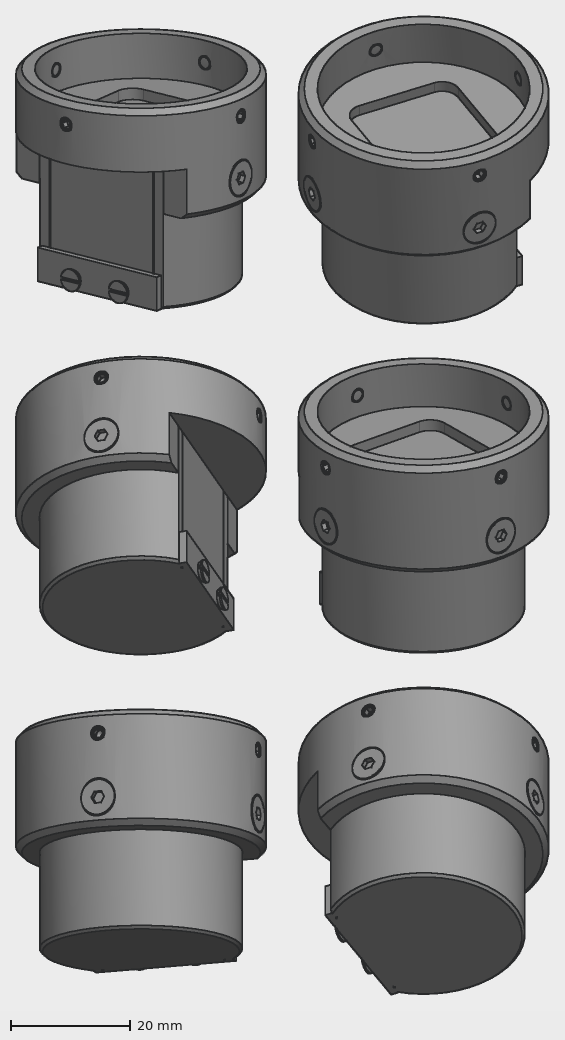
import cadquery as cq
import math

total_height = 37.0
collar_diameter = 42.0
collar_height = 20.0
collar_chamfer = 1.0
body_diameter = 34.0
body_chamfer = 0.5
collar_bottom = total_height - collar_height
collar_radius = collar_diameter / 2

collar_bore_diameter = 34.1

socket_diameter = 35.6
socket_depth = 8.0
pocket_side = 20.0
pocket_corner_radius = 3.0
pocket_depth = 2.0
socket_floor = total_height - socket_depth

flat_y = -11.0
flat_top = 26.0

panel_width = 22.0
panel_bevel = 0.3

bar_width = 25.0
bar_height = 6.0
bar_thickness = 1.25
bar_screw_spacing = 10.0
bar_screw_z = 2.0
bar_screw_head_diameter = 3.9
bar_screw_neck_diameter = 3.24
bar_screw_rim_thickness = 0.3
bar_screw_head_height = 0.9
bar_screw_slot_width = 0.5
bar_screw_slot_depth = 0.6

side_screw_z = 22.0
side_screw_angles = (0, 90, 180)
side_screw_head_diameter = 6.0
side_screw_shank_diameter = 3.0
side_screw_seat_diameter = 6.5
side_screw_hex_flats = 2.0
side_screw_hex_depth = 1.0

set_screw_z = 33.0
set_screw_angles = (0, 90, 180, 270)
set_screw_diameter = 2.46
set_screw_end_diameter = 2.0
set_screw_recess = 0.2
set_screw_hex_flats = 1.5
set_screw_hex_depth = 1.2
set_screw_drill_point_angle = 118.0


def hex_corner_diameter(across_flats):
    return across_flats / math.cos(math.radians(30))


def turned(profile):
    """Revolve (radius, x) points about the X axis."""
    points = [(x, radius) for radius, x in profile]
    return cq.Workplane("XY").polyline(points).close().revolve(360, (0, 0), (1, 0))


def hex_socket(across_flats, depth, outer_x):
    """Hexagonal prism along X, ending at outer_x, with two flats level."""
    start = cq.Workplane("YZ").workplane(offset=outer_x - depth)
    return start.polygon(6, hex_corner_diameter(across_flats)).extrude(depth)


def placed(shape, angle, z):
    """Turn a shape built along +X to the given side and raise it to height z."""
    return shape.rotate((0, 0, 0), (0, 0, 1), angle).translate((0, 0, z))


def make_housing():
    body = cq.Workplane("XY").circle(body_diameter / 2).extrude(collar_bottom)
    body = body.faces("<Z").chamfer(body_chamfer)
    collar = cq.Workplane("XY").workplane(offset=collar_bottom)
    collar = collar.circle(collar_radius).extrude(collar_height)
    collar = collar.faces("<Z or >Z").chamfer(collar_chamfer)
    housing = body.union(collar)
    socket = cq.Workplane("XY").workplane(offset=socket_floor)
    socket = socket.circle(socket_diameter / 2).extrude(socket_depth)
    pocket = (
        cq.Workplane("XY")
        .workplane(offset=socket_floor - pocket_depth)
        .rect(pocket_side, pocket_side)
        .extrude(pocket_depth)
        .edges("|Z")
        .fillet(pocket_corner_radius)
    )
    return housing.cut(socket).cut(pocket)


def cut_flat(part):
    cut_depth = collar_radius + flat_y
    block = cq.Workplane("XY").box(collar_diameter, cut_depth, flat_top, centered=(True, False, False))
    part = part.cut(block.translate((0, -collar_radius, 0)))
    for side in (-1, 1):
        outer_x = side * panel_width / 2
        inner_x = side * (panel_width / 2 - panel_bevel)
        groove = [(outer_x, flat_y), (inner_x, flat_y), (outer_x, flat_y + panel_bevel)]
        part = part.cut(cq.Workplane("XY").polyline(groove).close().extrude(flat_top))
    return part


def cut_collar_clearance(part):
    ring = cq.Workplane("XY").workplane(offset=collar_bottom)
    ring = ring.circle(collar_bore_diameter / 2).circle(body_diameter / 2)
    return part.cut(ring.extrude(flat_top - collar_bottom))


def make_bar_screw():
    """Slotted head along +X, starting at x = 0 on the bar face."""
    neck_radius = bar_screw_neck_diameter / 2
    head_radius = bar_screw_head_diameter / 2
    rim_start = bar_screw_head_height - bar_screw_rim_thickness
    head = turned(
        [
            (0, 0),
            (neck_radius, 0),
            (head_radius, rim_start),
            (head_radius, bar_screw_head_height),
            (0, bar_screw_head_height),
        ]
    )
    slot = cq.Workplane("XY").box(bar_screw_slot_depth, bar_screw_head_diameter, bar_screw_slot_width)
    return head.cut(slot.translate((bar_screw_head_height - bar_screw_slot_depth / 2, 0, 0)))


def add_bar(part):
    bar = cq.Workplane("XY").box(bar_width, bar_thickness, bar_height, centered=(True, False, False))
    bar_face_y = flat_y - bar_thickness
    part = part.union(bar.translate((0, bar_face_y, 0)))
    screw = placed(make_bar_screw(), -90, bar_screw_z)
    for x in (-bar_screw_spacing / 2, bar_screw_spacing / 2):
        part = part.union(screw.translate((x, bar_face_y, 0)))
    return part


def add_side_screws(part):
    head_radius = side_screw_head_diameter / 2
    shank_radius = side_screw_shank_diameter / 2
    seat_gap = (side_screw_seat_diameter - side_screw_head_diameter) / 2
    cone_depth = head_radius - shank_radius
    inner_x = collar_radius - cone_depth
    seat = turned(
        [
            (0, inner_x),
            (shank_radius + seat_gap, inner_x),
            (head_radius + seat_gap, collar_radius),
            (0, collar_radius),
        ]
    )
    head = turned([(0, inner_x), (shank_radius, inner_x), (head_radius, collar_radius), (0, collar_radius)])
    head = head.cut(hex_socket(side_screw_hex_flats, side_screw_hex_depth, collar_radius))
    for angle in side_screw_angles:
        part = part.cut(placed(seat, angle, side_screw_z)).union(placed(head, angle, side_screw_z))
    return part


def add_set_screws(part):
    radius = set_screw_diameter / 2
    end_radius = set_screw_end_diameter / 2
    chamfer = radius - end_radius
    outer_end = collar_radius - set_screw_recess
    inner_end = socket_diameter / 2
    recess = turned([(0, outer_end), (radius, outer_end), (radius, collar_radius), (0, collar_radius)])
    outer_ring = turned([(end_radius, outer_end), (radius, outer_end), (radius, outer_end - chamfer)])
    inner_start = math.sqrt(inner_end**2 - radius**2)
    inner_ring = turned(
        [
            (end_radius, inner_start),
            (radius, inner_start),
            (radius, inner_end + chamfer),
            (end_radius, inner_end),
        ]
    )
    socket_bottom = outer_end - set_screw_hex_depth
    hexagon = hex_socket(set_screw_hex_flats, set_screw_hex_depth, outer_end)
    point_radius = set_screw_hex_flats / 2
    point_depth = point_radius / math.tan(math.radians(set_screw_drill_point_angle / 2))
    point_tip = socket_bottom - point_depth
    drill_point = turned([(0, socket_bottom), (point_radius, socket_bottom), (0, point_tip)])
    for angle in set_screw_angles:
        for cutter in (recess, outer_ring, inner_ring, hexagon, drill_point):
            part = part.cut(placed(cutter, angle, set_screw_z))
    return part


result = make_housing()
result = cut_flat(result)
result = cut_collar_clearance(result)
result = add_bar(result)
result = add_side_screws(result)
result = add_set_screws(result)